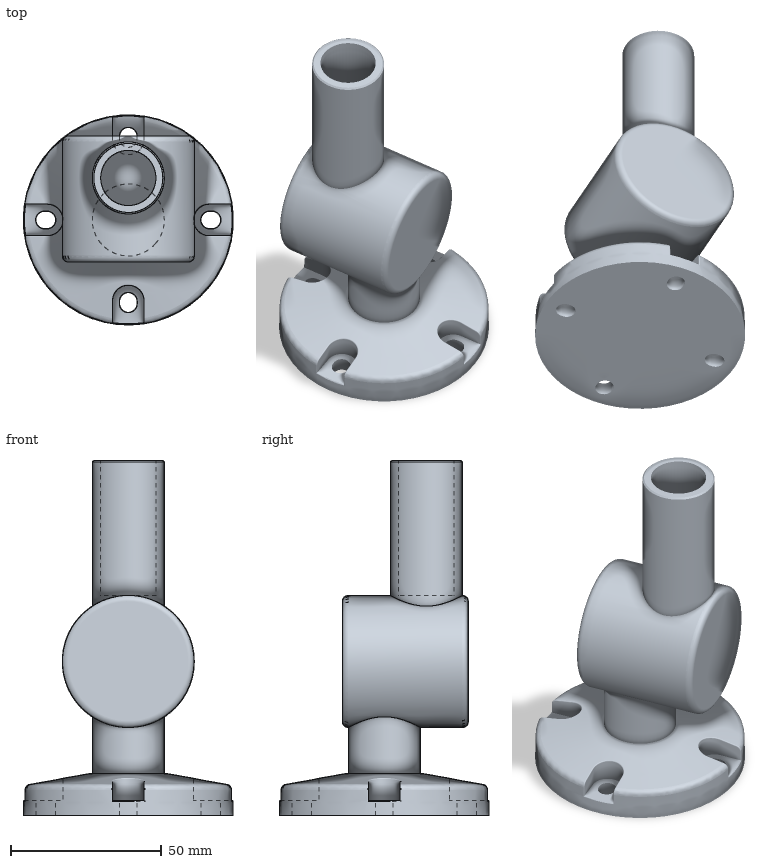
import cadquery as cq
import math

base_radius = 35.0
rim_height = 10.15
rim_draft = 1.0
base_height = 14.0
cone_top_radius = 13.0
rim_fillet = 2.0

pocket_count = 4
pocket_width = 10.5
pocket_floor = 5.0
pocket_arc_center = 27.0
pocket_edge_fillet = 0.3
slot_center = 27.5
slot_width = 5.8
slot_length = 6.6

tube_radius = 12.0
bore_radius = 9.2
tube_chamfer = 0.5
total_height = 118.37
drum_radius = 22.0
drum_height = 51.37
drum_fillet = 2.0
tube_offset = 14.0
drum_overhang = 14.0
drum_length = tube_offset + 2 * drum_overhang
bore_bottom = drum_height + drum_radius

clearance = 1.0
tolerance = 0.1


def make_base():
    rim_top_radius = base_radius - rim_height * math.tan(math.radians(rim_draft))
    profile = (
        cq.Workplane("XZ")
        .lineTo(base_radius, 0)
        .lineTo(rim_top_radius, rim_height)
        .lineTo(cone_top_radius, base_height)
        .lineTo(0, base_height)
        .close()
    )
    base = profile.revolve(360, (0, 0), (0, 1))
    reach = base_radius + clearance
    rim_edge = cq.selectors.BoxSelector(
        (-reach, -reach, rim_height - tolerance),
        (reach, reach, rim_height + tolerance),
        boundingbox=True,
    )
    base = base.edges(rim_edge).fillet(rim_fillet)
    return base.rotate((0, 0, 0), (0, 0, 1), 180 / pocket_count)


def make_pocket_cutter():
    """Pocket on the +X side of the base."""
    half_width = pocket_width / 2
    outer_end = base_radius + clearance
    return (
        cq.Workplane("XY", origin=(0, 0, pocket_floor))
        .moveTo(outer_end, -half_width)
        .lineTo(pocket_arc_center, -half_width)
        .threePointArc((pocket_arc_center - half_width, 0), (pocket_arc_center, half_width))
        .lineTo(outer_end, half_width)
        .close()
        .extrude(base_height)
    )


def make_slot_cutter():
    """Radial screw slot on the +X side of the base."""
    return cq.Workplane("XY").center(slot_center, 0).slot2D(slot_length, slot_width).extrude(base_height)


def round_pocket_edges(base):
    """Round the outer edge of the +X pocket: along its walls and across its floor."""
    half_width = pocket_width / 2 + tolerance
    inner_end = pocket_arc_center - half_width
    pocket_zone = cq.selectors.BoxSelector(
        (inner_end, -half_width, pocket_floor - tolerance),
        (base_radius + clearance, half_width, base_height),
    )
    floor_zone = cq.selectors.BoxSelector(
        (inner_end, -half_width, pocket_floor - tolerance),
        (base_radius - clearance, half_width, pocket_floor + tolerance),
    )
    arc_ends = cq.selectors.BoxSelector(
        (pocket_arc_center - tolerance, -half_width, pocket_floor),
        (pocket_arc_center + tolerance, half_width, base_height),
    )
    return base.edges(pocket_zone - floor_zone - arc_ends).fillet(pocket_edge_fillet)


def make_drum():
    drum = (
        cq.Workplane("XZ", origin=(0, -drum_overhang, drum_height))
        .circle(drum_radius)
        .extrude(-drum_length)
    )
    return drum.faces("<Y or >Y").edges().fillet(drum_fillet)


def make_post():
    return cq.Workplane("XY").circle(tube_radius).extrude(drum_height)


def make_tube():
    tube = (
        cq.Workplane("XY", origin=(0, tube_offset, drum_height))
        .circle(tube_radius)
        .extrude(total_height - drum_height)
    )
    return tube.faces(">Z").edges().chamfer(tube_chamfer)


def make_bore():
    return (
        cq.Workplane("XY", origin=(0, tube_offset, bore_bottom))
        .circle(bore_radius)
        .extrude(total_height - bore_bottom)
    )


base = make_base()
for index in range(pocket_count):
    base = round_pocket_edges(base.cut(make_pocket_cutter())).cut(make_slot_cutter())
    base = base.rotate((0, 0, 0), (0, 0, 1), 360 / pocket_count)

result = base.union(make_post()).union(make_drum()).union(make_tube()).cut(make_bore())